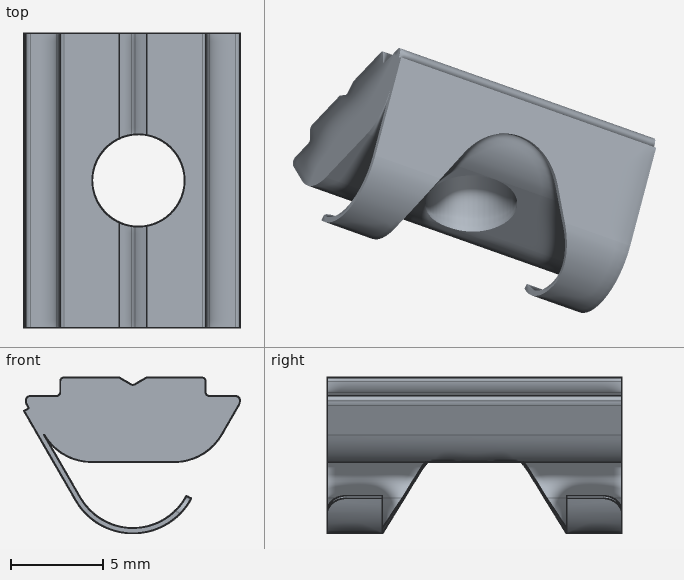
import cadquery as cq
import math

length = 16.0
height = 4.6
collar_half_width = 3.95
collar_height = 1.0
collar_radius = 0.2
shoulder_half_width = 5.815
shoulder_top_radius = 0.25
shoulder_flank_radius = 0.5
flank_angle = math.radians(60)
flank_half_width = 6.04
belly_radius = 3.0

groove_half_width = 0.74
groove_angle = math.radians(30)
groove_root_radius = 0.2

hole_diameter = 5.0
hole_offset = 0.3

sheet = 0.3
total_height = 8.47
spring_start = 0.77
spring_tip_angle = math.radians(62)
tip_corner_radius = 1.0

arch_top = -3.48
arch_radius = 3.45
arch_side_angle = math.radians(58.4)


def near(x, y, z):
    """Pick the edge or face whose centre is closest to a point."""
    return cq.selectors.NearestToPointSelector((x, y, z))


def extrude_along_length(outline):
    """Extrude an XZ outline over the full length, centred on Y = 0."""
    return outline.extrude(length / 2, both=True)


def make_nut():
    flank_slope = math.tan(flank_angle)
    bottom_half_width = flank_half_width - (height - collar_height) / flank_slope
    shoulder_bottom = -collar_height - (flank_half_width - shoulder_half_width) * flank_slope
    corners = [
        (collar_half_width, 0, collar_radius),
        (collar_half_width, -collar_height, collar_radius),
        (shoulder_half_width, -collar_height, shoulder_top_radius),
        (shoulder_half_width, shoulder_bottom, shoulder_flank_radius),
        (bottom_half_width, -height, belly_radius),
    ]
    right_side = [(x, z) for x, z, _ in corners]
    left_side = [(-x, z) for x, z in reversed(right_side)]
    nut = extrude_along_length(cq.Workplane("XZ").polyline(right_side + left_side).close())

    for x, z, radius in corners:
        for side in (1, -1):
            nut = nut.edges(near(side * x, 0, z)).fillet(radius)
    return nut


def make_groove():
    depth = groove_half_width * math.tan(groove_angle)
    outline = [(-groove_half_width, 0), (0, -depth), (groove_half_width, 0)]
    groove = extrude_along_length(cq.Workplane("XZ").polyline(outline).close())
    return groove.edges("|Y and <Z").fillet(groove_root_radius)


def make_hole():
    return cq.Workplane("XY").center(hole_offset, 0).circle(hole_diameter / 2).extrude(-height)


def make_opening():
    """Cutter for the spring: a splayed arch up to the lowest level, a parallel gap beyond it."""
    tangent_y = arch_radius * math.sin(arch_side_angle)
    tangent_z = arch_top - arch_radius * (1 - math.cos(arch_side_angle))
    foot_y = tangent_y + (tangent_z + total_height) / math.tan(arch_side_angle)
    reach = flank_half_width + sheet
    arch = (
        cq.Workplane("YZ")
        .moveTo(-foot_y, -total_height)
        .lineTo(-tangent_y, tangent_z)
        .threePointArc((0, arch_top), (tangent_y, tangent_z))
        .lineTo(foot_y, -total_height)
        .close()
        .extrude(-reach)
    )
    gap = cq.Workplane("XY").box(reach, 2 * foot_y, total_height, centered=(False, True, False))
    return arch.union(gap.translate((0, 0, -total_height)))


def make_spring():
    down = (math.cos(flank_angle), -math.sin(flank_angle))
    outward = (-math.sin(flank_angle), -math.cos(flank_angle))
    inner_start = (
        -flank_half_width + spring_start * down[0],
        -collar_height + spring_start * down[1],
    )
    outer_start = (inner_start[0] + sheet * outward[0], inner_start[1] + sheet * outward[1])

    leaf_foot = outer_start[0] + (outer_start[1] + total_height) / math.tan(flank_angle)
    outer_radius = -leaf_foot / math.tan(flank_angle / 2)
    inner_radius = outer_radius - sheet
    centre_z = outer_radius - total_height

    def on_curl(radius, angle):
        return (radius * math.sin(angle), centre_z - radius * math.cos(angle))

    strip = extrude_along_length(
        cq.Workplane("XZ")
        .moveTo(*outer_start)
        .lineTo(*on_curl(outer_radius, -flank_angle))
        .threePointArc(on_curl(outer_radius, 0), on_curl(outer_radius, spring_tip_angle))
        .lineTo(*on_curl(inner_radius, spring_tip_angle))
        .threePointArc(on_curl(inner_radius, 0), on_curl(inner_radius, -flank_angle))
        .lineTo(*inner_start)
        .close()
    )

    skin = strip.cut(make_opening())
    facing_outward = cq.selectors.DirectionSelector(cq.Vector(outward[0], 0, outward[1]))
    leaf_face = skin.faces(facing_outward).val()
    leg_face = skin.faces(near(0, -length / 2, -total_height)).val()
    leaf = cq.Workplane(leaf_face.thicken(-sheet))
    leg = cq.Workplane(leg_face.thicken(-sheet))

    tip_x, tip_z = on_curl(outer_radius - sheet / 2, spring_tip_angle)
    leg = leg.edges(near(tip_x, -length / 2, tip_z)).fillet(tip_corner_radius)
    return leaf.union(leg).union(leg.mirror("XZ"))


nut = make_nut().cut(make_groove()).cut(make_hole())
result = nut.union(make_spring())